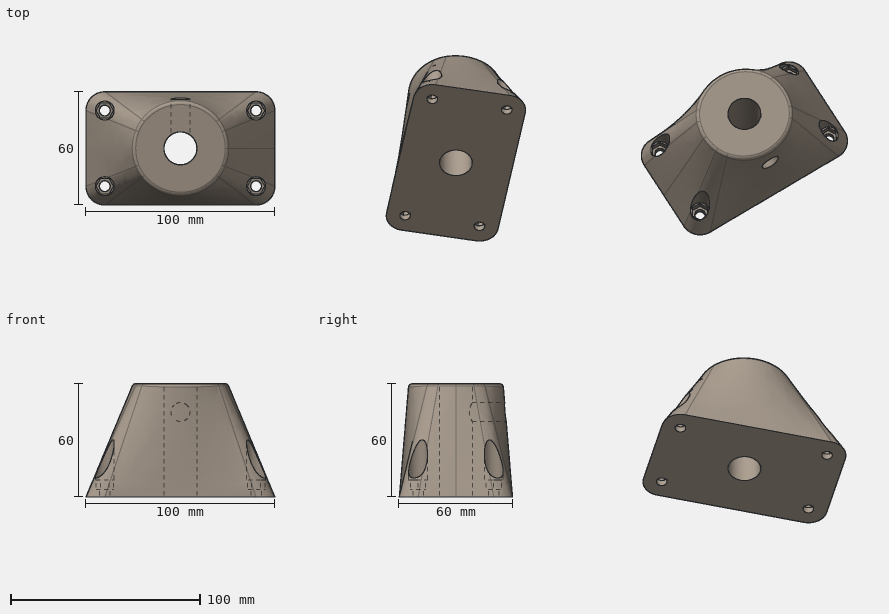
import cadquery as cq
import math

length = 100
width = 60
height = 60
corner_radius = 10
top_diameter = 50
top_fillet = 2

bore_diameter = 17.3

screw_diameter = 5.6
access_diameter = 10
access_floor = 9
hex_flats = 8
hex_floor = 4
screw_spacing_x = length - 2 * corner_radius
screw_spacing_y = width - 2 * corner_radius

side_hole_diameter = 10
side_hole_height = 45


def make_body():
    foot = cq.Sketch().rect(length, width).vertices().fillet(corner_radius)
    top = cq.Sketch().circle(top_diameter / 2).moved(cq.Location(cq.Vector(0, 0, height)))
    body = cq.Workplane("XY").placeSketch(foot, top).loft()
    return body.faces(">Z").edges().fillet(top_fillet)


def at_screws(z):
    """Workplane at height z with a point at each mounting screw."""
    plane = cq.Workplane("XY").workplane(offset=z)
    return plane.rect(screw_spacing_x, screw_spacing_y, forConstruction=True).vertices()


def cut_screw_seats(body):
    hex_across_corners = hex_flats / math.cos(math.radians(30))
    body = body.cut(at_screws(0).circle(screw_diameter / 2).extrude(height))
    body = body.cut(at_screws(hex_floor).polygon(6, hex_across_corners).extrude(height))
    return body.cut(at_screws(access_floor).circle(access_diameter / 2).extrude(height))


def cut_side_hole(body):
    hole = cq.Workplane("XZ", origin=(0, 0, side_hole_height)).circle(side_hole_diameter / 2).extrude(-width)
    return body.cut(hole)


result = make_body()
result = result.cut(cq.Workplane("XY").circle(bore_diameter / 2).extrude(height))
result = cut_screw_seats(result)
result = cut_side_hole(result)